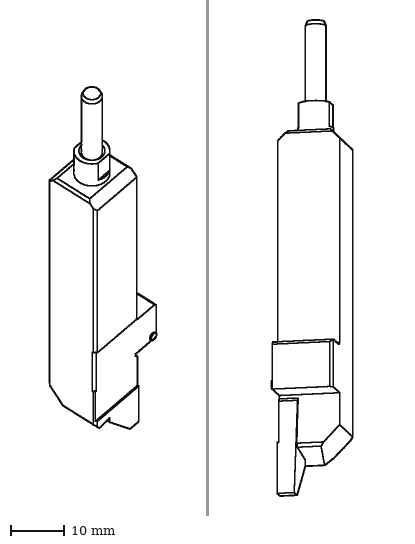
import cadquery as cq

width = 12.0
depth = 12.0
block_top = 70.1
top_bevel = 1.9
edge_bevel = 0.55
corner_cut_height = 12.8
corner_cut = 5.3
block_bottom = corner_cut_height - corner_cut
front_corner_depth = 1.1
front_corner_height = 1.5
back_bottom = 9.0
back_corner_cut = 0.6
back_side_start = 12.9
back_lean = 0.2

relief_depth = 0.3
relief_bottom = 9.85
relief_top = 28.8
relief_bevel_bottom = 18.05

tang_end = 18.0
tang_bottom = 19.0
tang_top = 28.2
tang_width = width - relief_depth
button_diameter = 1.7
button_y = 16.85
button_z = tang_bottom + 1.0

tip_back = 12.5
tip_top = 18.3
tip_left = 8.0
tip_taper = 0.6
tip_end_y = 9.9
tip_front = 4.05
tip_slope_top = 6.7

axis_x = width / 2
axis_y = 5.9
collar_diameter = 6.8
collar_top = 76.15
collar_flats = 6.0
flats_bottom = 71.5
countersink_diameter = 4.9
stud_diameter = 4.0
stud_top = 92.1
stud_end_diameter = 3.3
stud_end_height = 0.8
stud_bottom = block_top


def box(x0, x1, y0, y1, z0, z1):
    """Box between opposite corner coordinates."""
    return cq.Workplane("XY").box(x1 - x0, y1 - y0, z1 - z0, centered=False).translate((x0, y0, z0))


def cylinder(diameter, z0, z1):
    """Vertical cylinder on the stud axis."""
    return cq.Workplane("XY", origin=(axis_x, axis_y, z0)).circle(diameter / 2).extrude(z1 - z0)


def side_prism(points, x0, x1):
    """Outline in (Y, Z), extruded along X."""
    return cq.Workplane("YZ", origin=(x0, 0, 0)).polyline(points).close().extrude(x1 - x0)


def front_prism(points, y0, y1):
    """Outline in (X, Z), extruded along +Y."""
    return cq.Workplane("XZ", origin=(0, y0, 0)).polyline(points).close().extrude(y0 - y1)


def plan_prism(points, z0, z1):
    """Outline in (X, Y), extruded upward."""
    return cq.Workplane("XY", origin=(0, 0, z0)).polyline(points).close().extrude(z1 - z0)


def make_block():
    """Block as the common volume of its side, front and plan outlines."""
    side = side_prism([
        (0, block_bottom + front_corner_height),
        (front_corner_depth, block_bottom),
        (depth - back_lean - back_corner_cut, back_bottom),
        (depth - back_lean, back_bottom + back_corner_cut),
        (depth, back_side_start),
        (depth, block_top - edge_bevel),
        (depth - edge_bevel, block_top),
        (edge_bevel, block_top),
        (0, block_top - edge_bevel),
    ], 0, width)
    front = front_prism([
        (0, corner_cut_height),
        (corner_cut, block_bottom),
        (width, block_bottom),
        (width, block_top - top_bevel),
        (width - top_bevel, block_top),
        (top_bevel, block_top),
        (0, block_top - top_bevel),
    ], 0, depth)
    plan = plan_prism([
        (edge_bevel, 0),
        (width - edge_bevel, 0),
        (width, edge_bevel),
        (width, depth),
        (0, depth),
        (0, edge_bevel),
    ], 0, block_top)
    return side.intersect(front).intersect(plan)


def cut_relief(body):
    """Shallow relief on the +X side; its upper part has a beveled front edge."""
    relief_x = width - relief_depth
    relief = box(relief_x, width, 0, depth, relief_bottom, relief_top)
    bevel = plan_prism([
        (relief_x - edge_bevel, 0),
        (width, 0),
        (width, edge_bevel),
        (relief_x, edge_bevel),
    ], relief_bevel_bottom, relief_top)
    return body.cut(relief).cut(bevel)


def make_tang():
    """Tang with beveled end edges, a beveled upper root corner and a button."""
    root = depth / 2
    side = side_prism([
        (root, tang_bottom),
        (tang_end, tang_bottom),
        (tang_end, tang_top - edge_bevel),
        (tang_end - edge_bevel, tang_top),
        (depth + edge_bevel, tang_top),
        (depth, tang_top + edge_bevel),
        (root, tang_top + edge_bevel),
    ], 0, tang_width)
    plan = plan_prism([
        (0, root),
        (tang_width, root),
        (tang_width, tang_end),
        (edge_bevel, tang_end),
        (0, tang_end - edge_bevel),
    ], tang_bottom, tang_top + edge_bevel)
    button = (
        cq.Workplane("YZ", origin=(axis_x, 0, 0))
        .center(button_y, button_z)
        .circle(button_diameter / 2)
        .extrude(width - axis_x)
    )
    return side.intersect(plan).union(button)


def make_tip():
    """Tapered tip whose lower front corner is cut away."""
    side = side_prism([
        (tip_end_y, 0),
        (tip_back, 0),
        (tip_back, tip_top - edge_bevel),
        (tip_back - edge_bevel, tip_top),
        (tip_front, tip_top),
        (tip_front, tip_slope_top),
    ], 0, width)
    relief_x = width - relief_depth
    front = front_prism([
        (tip_left + tip_taper, 0),
        (width, 0),
        (width, relief_bottom),
        (relief_x, relief_bottom),
        (relief_x, tip_top),
        (tip_left, tip_top),
    ], 0, tip_back)
    return side.intersect(front)


def make_collar():
    """Round collar with two wrench flats that stop above the block."""
    collar = cylinder(collar_diameter, block_top, collar_top)
    between_flats = box(
        axis_x - collar_flats / 2, axis_x + collar_flats / 2, 0, depth, flats_bottom, collar_top
    )
    return collar.intersect(between_flats.union(cylinder(collar_diameter, block_top, flats_bottom)))


def cut_stud_hole(body):
    """Blind stud hole with a countersunk mouth."""
    countersink_depth = (countersink_diameter - stud_diameter) / 2
    hole = cylinder(stud_diameter, stud_bottom, collar_top)
    mouth = (
        cq.Workplane("XY", origin=(axis_x, axis_y, collar_top))
        .circle(countersink_diameter / 2)
        .workplane(offset=-countersink_depth)
        .circle(stud_diameter / 2)
        .loft()
    )
    return body.cut(hole).cut(mouth)


def make_holder():
    """Block, tang, tip and collar as one solid."""
    body = cut_relief(make_block()).union(make_tang()).union(make_tip()).union(make_collar())
    return cut_stud_hole(body)


def make_stud():
    """Straight stud with a slightly tapered upper end."""
    end_bevel = (stud_diameter - stud_end_diameter) / 2
    return cylinder(stud_diameter, stud_bottom, stud_top).faces(">Z").chamfer(stud_end_height, end_bevel)


holder = make_holder()
stud = make_stud()

result = cq.Compound.makeCompound([holder.val(), stud.val()])